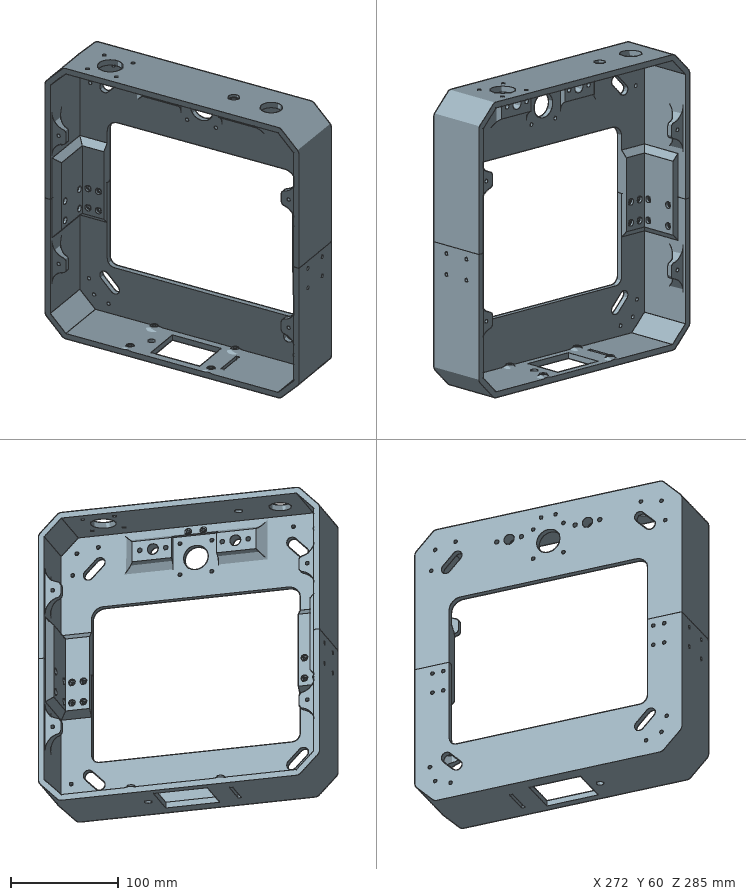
import cadquery as cq
import math

WIDTH = 272.0
HEIGHT = 285.0
DEPTH = 60.0
WALL = 5.7
CORNER_CUT = 20.0
CORNER_BLEND = 6.0

FRONT_Y = -DEPTH / 2
BACK_Y = DEPTH / 2
PLATE_Y = BACK_Y - WALL
WALL_X = WIDTH / 2 - WALL
FLOOR_Z = -HEIGHT / 2 + WALL
SEAM_Z = 0.0

OPENING_WIDTH = 201.8
OPENING_TOP = 66.0
OPENING_BOTTOM = -87.5
OPENING_TOP_RADIUS = 11.7
OPENING_BOTTOM_RADIUS = 8.0

SLOT_X = 98.3
SLOT_Z = 104.5
SLOT_WIDTH = 10.0
SLOT_LENGTH = 25.5
SCREW_DIAMETER = 3.5
UPPER_CORNER_HOLES = [(94.3, 125.5), (115.0, 121.5), (119.0, 100.3)]
LOWER_CORNER_HOLES = [(99.5, -127.0), (115.0, -121.7), (120.5, -106.0)]

TAB_THICKNESS = 6.3
TAB_HALF_HEIGHT = 42.0
TAB_FRONT_Y = -20.2
TAB_HOLE_Z = [-8.0, -28.2]
TAB_PLATE_HOLE_X = [107.0, 118.0]
TAB_WALL_HOLE_Y = [-13.5, 13.0]
HEAD_DIAMETER = 6.3
HEAD_DEPTH = 2.8

LUG_Z = 67.5
LUG_LENGTH = 15.0
LUG_HALF_HEIGHT = 7.5
LUG_FRONT_Y = FRONT_Y + 3.0
LUG_DEPTH = 4.8
LUG_NOSE_RADIUS = 4.0
LUG_HOLE_OFFSET = 7.0
LUG_HOLE_DEPTH = 7.0

BOSS_HEIGHT = 6.0
BOSS_HALF_WIDTH = 69.5
BOSS_BOTTOM = 95.5
BOSS_TOP = 134.8
BOSS_COVE = 9.7
CONNECTOR_X = 40.0
CONNECTOR_Z = 115.7
CONNECTOR_DIAMETER = 10.3
CONNECTOR_SCREW_OFFSET = 12.5
CONNECTOR_SCREW_DIAMETER = 4.3
BOSS_SCREW_X = 7.5
BOSS_SCREW_Z = 131.5

SOCKET_DIAMETER = 23.7
SOCKET_SCREW_PITCH = 30.8
SOCKET_SEAT = 44.0
PLATE_SOCKET_Z = 105.2
TOP_SOCKET_X = -80.7
TOP_SOCKET_Y = -4.8

GLAND_X = 89.0
GLAND_DIAMETER = 20.5
BUTTON_X = 48.7
BUTTON_DIAMETER = 7.5
BUTTON_HEAD_DIAMETER = 10.5
BUTTON_HEAD_DEPTH = 2.8

FLOOR_CENTER_Y = -2.5
WINDOW_X = -0.9
WINDOW_WIDTH = 52.2
WINDOW_DEPTH = 39.5
CABLE_SLOT_X = 46.5
CABLE_SLOT_WIDTH = 3.0
CABLE_SLOT_LENGTH = 28.0
FLOOR_HOLE_X = -38.0
FLOOR_HOLE_DIAMETER = 6.8
STANDOFF_X = [-48.0, 38.8]
STANDOFF_OFFSET_Y = 22.2
STANDOFF_TOP_RADIUS = 3.5
STANDOFF_COVE = 4.5
STANDOFF_HEIGHT = 3.0
STANDOFF_HOLE_DEPTH = 5.7

SIDES = (-1, 1)


def block(x_range, y_range, z_range):
    """Box between the given limits."""
    (x0, x1), (y0, y1), (z0, z1) = x_range, y_range, z_range
    return cq.Workplane("XY").box(x1 - x0, y1 - y0, z1 - z0, centered=False).translate((x0, y0, z0))


def rod(start, direction, diameter, length):
    """Cylinder from a start point along a direction."""
    return cq.Workplane(
        cq.Solid.makeCylinder(diameter / 2, length, cq.Vector(*start), cq.Vector(*direction))
    )


def plate_hole(x, z, diameter):
    """Cutter through the whole back plate and anything raised on it."""
    return rod((x, 0, z), (0, 1, 0), diameter, DEPTH)


def top_hole(x, y, diameter):
    """Cutter through the top wall."""
    return rod((x, y, HEIGHT / 2 - 2 * WALL), (0, 0, 1), diameter, 3 * WALL)


def counterbored_hole(seat, direction, head_depth):
    """Screw cutter whose head pocket starts at the seat point and runs along the direction."""
    head = rod(seat, direction, HEAD_DIAMETER, head_depth)
    return head.union(rod(seat, direction, SCREW_DIAMETER, DEPTH / 2))


def octagon(width, height, cut):
    """Rectangle with its corners cut at 45 degrees, on the XZ plane."""
    x, z = width / 2, height / 2
    points = [
        (x - cut, z), (x, z - cut), (x, cut - z), (x - cut, -z),
        (cut - x, -z), (-x, cut - z), (-x, z - cut), (cut - x, z),
    ]
    return cq.Workplane("XZ").polyline(points).close()


def make_shell():
    """Open-fronted tray with cut corners and the large opening in its back plate."""
    outer = octagon(WIDTH, HEIGHT, CORNER_CUT).extrude(DEPTH / 2, both=True)
    outer = outer.edges("|Y").fillet(CORNER_BLEND)
    inner_cut = CORNER_CUT - WALL * (2 - math.sqrt(2))
    cavity = octagon(WIDTH - 2 * WALL, HEIGHT - 2 * WALL, inner_cut).extrude(DEPTH / 2, both=True)
    shell = outer.cut(cavity.translate((0, -WALL, 0)))
    half_width = OPENING_WIDTH / 2
    opening = block((-half_width, half_width), (0, DEPTH), (OPENING_BOTTOM, OPENING_TOP))
    opening = opening.edges("|Y and >Z").fillet(OPENING_TOP_RADIUS)
    opening = opening.edges("|Y and <Z").fillet(OPENING_BOTTOM_RADIUS)
    return shell.cut(opening)


def cove_middle(width, height):
    """Run and rise of the middle of a concave arc that starts flat and climbs over a width to a height."""
    radius = (width**2 + height**2) / (2 * height)
    half_angle = math.asin(width / radius) / 2
    return radius * math.sin(half_angle), radius * (1 - math.cos(half_angle))


def make_boss():
    """Low block on the back plate whose four sides sweep out concavely into the plate."""
    top_y = PLATE_Y - BOSS_HEIGHT
    run, rise = cove_middle(BOSS_COVE, BOSS_HEIGHT)

    def profile(plane, low, high):
        return (
            cq.Workplane(plane)
            .moveTo(low, PLATE_Y)
            .threePointArc((low + run, PLATE_Y - rise), (low + BOSS_COVE, top_y))
            .lineTo(high - BOSS_COVE, top_y)
            .threePointArc((high - run, PLATE_Y - rise), (high, PLATE_Y))
            .lineTo(high, BACK_Y)
            .lineTo(low, BACK_Y)
            .close()
        )

    across = profile("XY", -BOSS_HALF_WIDTH, BOSS_HALF_WIDTH).extrude(HEIGHT / 2)
    upright = profile("ZY", BOSS_BOTTOM, BOSS_TOP).extrude(WIDTH / 2, both=True)
    seat = block(
        (-SOCKET_SEAT / 2, SOCKET_SEAT / 2),
        (0, PLATE_Y),
        (PLATE_SOCKET_Z - SOCKET_SEAT / 2, PLATE_SOCKET_Z + SOCKET_SEAT / 2),
    )
    return across.intersect(upright).cut(seat)


def make_lug(z):
    """Lug on the right-hand wall, rounded at the nose and coved into the wall on three sides."""
    nose_x = WALL_X - LUG_LENGTH
    wall_inside_x = WALL_X + WALL / 2
    arc_short = LUG_LENGTH * (1 - math.sqrt(0.5))
    flare = LUG_HALF_HEIGHT + LUG_LENGTH
    outline = (
        cq.Workplane("XZ")
        .moveTo(wall_inside_x, -flare)
        .lineTo(WALL_X, -flare)
        .threePointArc((WALL_X - arc_short, -LUG_HALF_HEIGHT - arc_short), (nose_x, -LUG_HALF_HEIGHT))
        .lineTo(nose_x, LUG_HALF_HEIGHT)
        .threePointArc((WALL_X - arc_short, LUG_HALF_HEIGHT + arc_short), (WALL_X, flare))
        .lineTo(wall_inside_x, flare)
        .close()
        .extrude(DEPTH / 2, both=True)
        .edges("|Y and <X")
        .fillet(LUG_NOSE_RADIUS)
    )
    rear_y = LUG_FRONT_Y + LUG_DEPTH
    plan = (
        cq.Workplane("XY")
        .moveTo(nose_x, LUG_FRONT_Y)
        .lineTo(wall_inside_x, LUG_FRONT_Y)
        .lineTo(wall_inside_x, rear_y + LUG_LENGTH)
        .lineTo(WALL_X, rear_y + LUG_LENGTH)
        .threePointArc((WALL_X - arc_short, rear_y + arc_short), (nose_x, rear_y))
        .close()
        .extrude(flare, both=True)
    )
    hole = rod((WALL_X - LUG_HOLE_OFFSET, LUG_FRONT_Y, 0), (0, 1, 0), SCREW_DIAMETER, LUG_HOLE_DEPTH)
    return outline.intersect(plan).cut(hole).translate((0, 0, z))


def both_sides(shape):
    """The shape together with its mirror image across the YZ plane."""
    return shape.union(shape.mirror("YZ"))


def make_tabs():
    """Two L-shaped joining tabs, each sloped at 45 degrees at its upper and lower ends."""
    edge_x = OPENING_WIDTH / 2

    def sloped(plane, base, face):
        return (
            cq.Workplane(plane)
            .polyline([
                (base, TAB_HALF_HEIGHT),
                (face, TAB_HALF_HEIGHT - TAB_THICKNESS),
                (face, TAB_THICKNESS - TAB_HALF_HEIGHT),
                (base, -TAB_HALF_HEIGHT),
            ])
            .close()
        )

    wall_strip = sloped("XZ", WALL_X, WALL_X - TAB_THICKNESS).extrude(DEPTH, both=True)
    on_wall = wall_strip.intersect(block((0, WIDTH), (TAB_FRONT_Y, PLATE_Y), (-HEIGHT, HEIGHT)))
    on_plate = sloped("YZ", PLATE_Y, PLATE_Y - TAB_THICKNESS).extrude(WIDTH)
    on_plate = on_plate.intersect(block((edge_x, WALL_X), (0, BACK_Y), (-HEIGHT, HEIGHT)))
    tabs = both_sides(on_wall.union(on_plate))
    taper = (
        cq.Workplane("XY")
        .polyline([
            (-WALL_X, TAB_FRONT_Y),
            (TAB_THICKNESS - WALL_X, TAB_FRONT_Y),
            (-WALL_X, TAB_FRONT_Y - TAB_THICKNESS),
        ])
        .close()
        .extrude(TAB_HALF_HEIGHT, both=True)
    )
    return tabs.union(taper.intersect(wall_strip.mirror("YZ")))


def tab_screws():
    """Counterbored cutters through the tabs and the lower half behind them."""
    screws = cq.Workplane()
    for z in TAB_HOLE_Z:
        for x in TAB_PLATE_HOLE_X:
            seat = (x, PLATE_Y - TAB_THICKNESS, z)
            screws.add(counterbored_hole(seat, (0, 1, 0), HEAD_DEPTH).vals())
        for y in TAB_WALL_HOLE_Y:
            seat = (WALL_X - TAB_THICKNESS, y, z)
            screws.add(counterbored_hole(seat, (1, 0, 0), HEAD_DEPTH).vals())
    return both_sides(screws.combine())


def cut_corner_holes(body, z_sign, holes):
    """Diagonal mounting slot and three screw holes at each back plate corner of one half."""
    for side in SIDES:
        slot = cq.Workplane("XZ").slot2D(SLOT_LENGTH, SLOT_WIDTH, 45 * -side * z_sign).extrude(-DEPTH)
        body = body.cut(slot.translate((side * SLOT_X, 0, z_sign * SLOT_Z)))
        for x, z in holes:
            body = body.cut(plate_hole(side * x, z, SCREW_DIAMETER))
    return body


def socket_screws():
    """Centres of the four screws around a flanged socket."""
    half = SOCKET_SCREW_PITCH / 2
    return [(u * half, v * half) for u in SIDES for v in SIDES]


def cut_plate_sockets(body):
    """Central socket, the two connectors beside it and the two screws above it."""
    body = body.cut(plate_hole(0, PLATE_SOCKET_Z, SOCKET_DIAMETER))
    for dx, dz in socket_screws():
        body = body.cut(plate_hole(dx, PLATE_SOCKET_Z + dz, SCREW_DIAMETER))
    for side in SIDES:
        center = side * CONNECTOR_X
        body = body.cut(plate_hole(center, CONNECTOR_Z, CONNECTOR_DIAMETER))
        for offset in (-CONNECTOR_SCREW_OFFSET, CONNECTOR_SCREW_OFFSET):
            body = body.cut(plate_hole(center + offset, CONNECTOR_Z, CONNECTOR_SCREW_DIAMETER))
        boss_screw = (side * BOSS_SCREW_X, PLATE_Y - BOSS_HEIGHT, BOSS_SCREW_Z)
        body = body.cut(counterbored_hole(boss_screw, (0, 1, 0), BOSS_HEIGHT))
    return body


def cut_top_wall(body):
    """Flanged socket, stepped button hole and cable gland hole in the top wall."""
    body = body.cut(top_hole(TOP_SOCKET_X, TOP_SOCKET_Y, SOCKET_DIAMETER))
    for dx, dy in socket_screws():
        body = body.cut(top_hole(TOP_SOCKET_X + dx, TOP_SOCKET_Y + dy, SCREW_DIAMETER))
    body = body.cut(top_hole(GLAND_X, 0, GLAND_DIAMETER))
    body = body.cut(top_hole(BUTTON_X, 0, BUTTON_DIAMETER))
    head = rod((BUTTON_X, 0, HEIGHT / 2), (0, 0, -1), BUTTON_HEAD_DIAMETER, BUTTON_HEAD_DEPTH)
    return body.cut(head)


def make_standoff(x, y):
    """Round standoff with a concave flare into the floor, trimmed at the open front."""
    base_radius = STANDOFF_TOP_RADIUS + STANDOFF_COVE
    run, rise = cove_middle(STANDOFF_COVE, STANDOFF_HEIGHT)
    standoff = (
        cq.Workplane("XZ")
        .moveTo(0, -WALL / 2)
        .lineTo(base_radius, -WALL / 2)
        .lineTo(base_radius, 0)
        .threePointArc((base_radius - run, rise), (STANDOFF_TOP_RADIUS, STANDOFF_HEIGHT))
        .lineTo(0, STANDOFF_HEIGHT)
        .close()
        .revolve(360, (0, 0, 0), (0, 1, 0))
        .translate((x, y, FLOOR_Z))
    )
    return standoff.intersect(block((-WIDTH, WIDTH), (FRONT_Y, BACK_Y), (-HEIGHT, HEIGHT)))


def add_floor_features(body):
    """Standoffs, window, cable slot and round hole in the floor."""
    for x in STANDOFF_X:
        for side in SIDES:
            y = FLOOR_CENTER_Y + side * STANDOFF_OFFSET_Y
            body = body.union(make_standoff(x, y))
            top = (x, y, FLOOR_Z + STANDOFF_HEIGHT)
            body = body.cut(rod(top, (0, 0, -1), SCREW_DIAMETER, STANDOFF_HOLE_DEPTH))
    for x, width, length in [
        (WINDOW_X, WINDOW_WIDTH, WINDOW_DEPTH),
        (CABLE_SLOT_X, CABLE_SLOT_WIDTH, CABLE_SLOT_LENGTH),
    ]:
        y = FLOOR_CENTER_Y - length / 2
        x_range = (x - width / 2, x + width / 2)
        body = body.cut(block(x_range, (y, y + length), (-HEIGHT, FLOOR_Z)))
    center = (FLOOR_HOLE_X, FLOOR_CENTER_Y, FLOOR_Z)
    return body.cut(rod(center, (0, 0, -1), FLOOR_HOLE_DIAMETER, 2 * WALL))


def make_upper_half(shell):
    """Upper half of the housing, carrying the joining tabs."""
    body = shell.intersect(block((-WIDTH, WIDTH), (-DEPTH, DEPTH), (SEAM_Z, HEIGHT)))
    body = body.union(make_boss())
    body = body.union(both_sides(make_lug(LUG_Z)))
    body = body.union(make_tabs())
    body = body.cut(tab_screws())
    body = cut_corner_holes(body, 1, UPPER_CORNER_HOLES)
    body = cut_plate_sockets(body)
    return cut_top_wall(body)


def make_lower_half(shell):
    """Lower half of the housing, screwed to the joining tabs from inside."""
    body = shell.intersect(block((-WIDTH, WIDTH), (-DEPTH, DEPTH), (-HEIGHT, SEAM_Z)))
    body = body.union(both_sides(make_lug(-LUG_Z)))
    body = body.cut(tab_screws())
    body = cut_corner_holes(body, -1, LOWER_CORNER_HOLES)
    return add_floor_features(body)


housing_shell = make_shell()
upper_half = make_upper_half(housing_shell)
lower_half = make_lower_half(housing_shell)

result = cq.Compound.makeCompound([upper_half.val(), lower_half.val()])